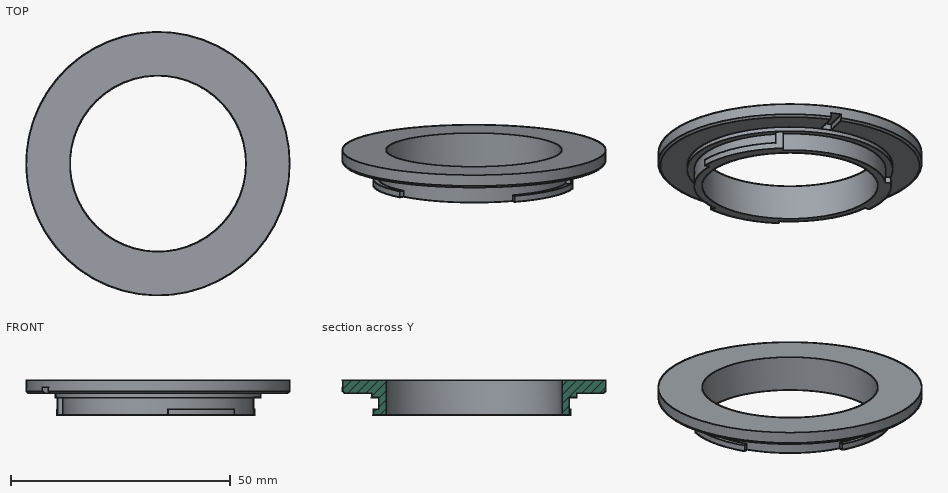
import cadquery as cq
import math

total_height = 8.0
flange_bottom = 5.0
collar_bottom = 4.0
lug_height = 1.4

bore_radius = 20.0
barrel_radius = 21.8
lug_radius = 23.0
collar_radius = 23.4
flange_radius = 30.0

chamfer_size = 0.5

lug_angles = [(17.0, 62.0), (133.0, 186.6), (275.8, 319.0)]

stop_start_angle = 182.4
stop_end_angle = lug_angles[1][1]

slot_angle = 211.1
slot_width = 2.5
slot_depth = 1.4


def point_at(radius, angle):
    """Point in the XY plane at a polar position, angle in degrees."""
    radians = math.radians(angle)
    return radius * math.cos(radians), radius * math.sin(radians)


def ring_sector(start_angle, end_angle, height):
    """Ring segment from the bore to the lug radius, standing on the barrel's end plane."""
    middle_angle = (start_angle + end_angle) / 2
    return (
        cq.Workplane("XY")
        .moveTo(*point_at(bore_radius, start_angle))
        .lineTo(*point_at(lug_radius, start_angle))
        .threePointArc(point_at(lug_radius, middle_angle), point_at(lug_radius, end_angle))
        .lineTo(*point_at(bore_radius, end_angle))
        .threePointArc(point_at(bore_radius, middle_angle), point_at(bore_radius, start_angle))
        .close()
        .extrude(height)
    )


def stepped_ring():
    """Barrel, collar and chamfered flange, revolved about Z around the open bore."""
    profile = [
        (bore_radius, 0),
        (barrel_radius, 0),
        (barrel_radius, collar_bottom),
        (collar_radius, collar_bottom),
        (collar_radius, flange_bottom),
        (flange_radius - chamfer_size, flange_bottom),
        (flange_radius, flange_bottom + chamfer_size),
        (flange_radius, total_height),
        (bore_radius, total_height),
    ]
    return cq.Workplane("XZ").polyline(profile).close().revolve(360, (0, 0, 0), (0, 1, 0))


def locking_slot():
    """Radial cutter running from the collar out past the flange rim."""
    slot_length = flange_radius - collar_radius + slot_width
    return (
        cq.Workplane("XY")
        .box(slot_length, slot_width, slot_depth, centered=(False, True, False))
        .translate((collar_radius, 0, flange_bottom))
        .rotate((0, 0, 0), (0, 0, 1), slot_angle)
    )


result = stepped_ring()
for lug_start, lug_end in lug_angles:
    result = result.union(ring_sector(lug_start, lug_end, lug_height))
result = result.union(ring_sector(stop_start_angle, stop_end_angle, collar_bottom))
result = result.cut(locking_slot())